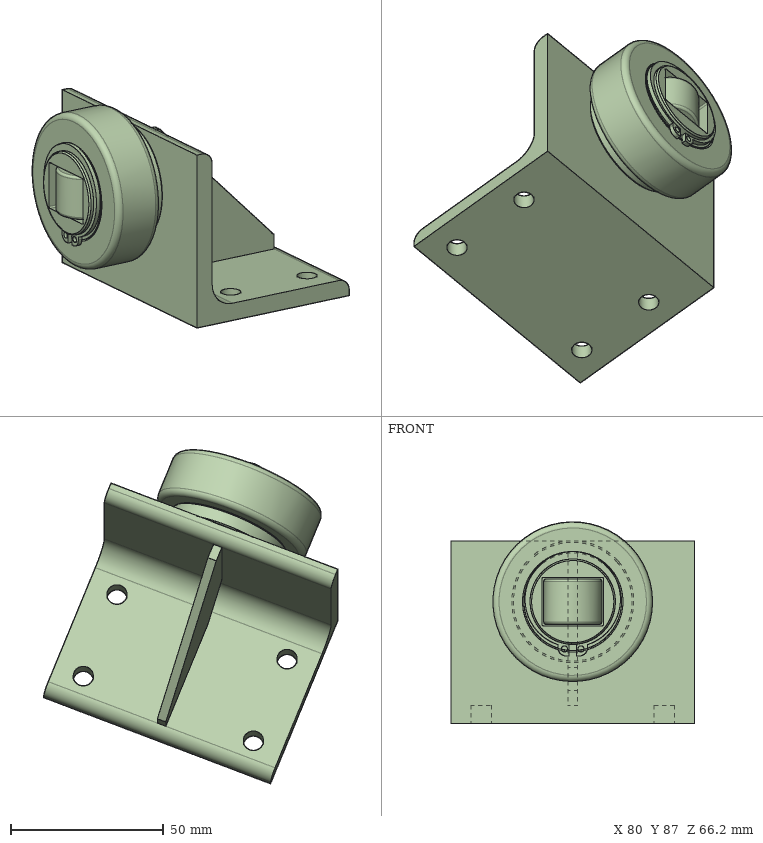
import cadquery as cq


bracket_width = 80.0
leg_length = 59.9
leg_thickness = 6.0
inner_radius = 8.0
tip_radius = 4.0

gusset_thickness = 3.0
gusset_end_flat = 5.0
gusset_corner_cut = 12.35

hole_diameter = 6.6
hole_edge_distance = 10.0
hole_spacing_x = bracket_width - 2 * hole_edge_distance
hole_spacing_y = 30.0

axis_height = 40.0
hub_diameter = 40.0
hub_chamfer = 0.5
roller_start = 5.05
roller_end = 21.9
roller_diameter = 52.4
roller_edge_radius = 2.0
bore_diameter = 32.0
bore_chamfer = 0.48

shaft_diameter = 28.0
shaft_end = 25.0
shaft_chamfer = 0.5
ring_end = 23.4
ring_radius = 15.7
ring_offset = 0.8
ring_gap = 2.35
lug_half_width = 4.9
lug_reach = 17.8
lug_corner_radius = 2.8
lug_hole_diameter = 2.0
lug_hole_offset = 2.7
lug_hole_drop = 15.5

overall_depth = 87.0
outer_depth = overall_depth - leg_length
window_width = 20.3
window_height = 15.8
window_corner_radius = 0.5
side_roller_diameter = 19.05
side_roller_length = 15.0
side_roller_edge_radius = 0.9
side_roller_depth = outer_depth - side_roller_diameter / 2


def face_plane(depth):
    """XZ plane centred on the roller axis, looking outwards along -Y."""
    return cq.Workplane("XZ", origin=(0, -depth, axis_height))


def make_angle():
    """L-shaped section with a filleted root and rounded leg tips."""
    angle = (
        cq.Workplane("YZ")
        .polyline([
            (0, 0),
            (leg_length, 0),
            (leg_length, leg_thickness),
            (leg_thickness, leg_thickness),
            (leg_thickness, leg_length),
            (0, leg_length),
        ])
        .close()
        .extrude(bracket_width / 2, both=True)
    )
    root = cq.selectors.NearestToPointSelector((0, leg_thickness, leg_thickness))
    base_tip = cq.selectors.NearestToPointSelector((0, leg_length, leg_thickness))
    upright_tip = cq.selectors.NearestToPointSelector((0, leg_thickness, leg_length))
    angle = angle.edges("|X").edges(root).fillet(inner_radius)
    angle = angle.edges("|X").edges(base_tip).fillet(tip_radius)
    angle = angle.edges("|X").edges(upright_tip).fillet(tip_radius)

    hole_centre_y = leg_length - hole_edge_distance - hole_spacing_y / 2
    holes = (
        cq.Workplane("XY", origin=(0, hole_centre_y, 0))
        .rarray(hole_spacing_x, hole_spacing_y, 2, 2)
        .circle(hole_diameter / 2)
        .extrude(leg_thickness)
    )
    return angle.cut(holes)


def make_gusset():
    """Diagonal web that stops where the leg tips start to round off."""
    inner = leg_thickness
    outer = leg_length - tip_radius
    return (
        cq.Workplane("YZ")
        .polyline([
            (inner + gusset_corner_cut, inner),
            (outer, inner),
            (outer, inner + gusset_end_flat),
            (inner + gusset_end_flat, outer),
            (inner, outer),
            (inner, inner + gusset_corner_cut),
        ])
        .close()
        .extrude(gusset_thickness / 2, both=True)
    )


def make_roller():
    """Chamfered hub, main roller and shaft end on a common axis."""
    hub = face_plane(0).circle(hub_diameter / 2).extrude(roller_start)
    hub = hub.faces("<Y or >Y").edges().chamfer(hub_chamfer)
    roller = face_plane(roller_start).circle(roller_diameter / 2).extrude(roller_end - roller_start)
    roller = roller.edges().fillet(roller_edge_radius)
    shaft = face_plane(roller_end).circle(shaft_diameter / 2).extrude(shaft_end - roller_end)
    shaft = shaft.faces("<Y").edges().chamfer(shaft_chamfer)
    return hub.union(roller).union(shaft)


def make_bore_groove():
    """V-groove left on the roller face by the chamfered edge of its bore."""
    bore_radius = bore_diameter / 2
    return (
        cq.Workplane("XY", origin=(0, 0, axis_height))
        .polyline([
            (bore_radius, -roller_end),
            (bore_radius + bore_chamfer, -roller_end),
            (bore_radius, -roller_end + bore_chamfer),
        ])
        .close()
        .revolve(360, (0, 0, 0), (0, 1, 0))
    )


def make_retaining_ring():
    """Ring tapering towards an open end with two drilled lugs."""
    thickness = ring_end - roller_end
    ring = face_plane(roller_end).center(0, ring_offset).circle(ring_radius).extrude(thickness)
    lug_height = lug_reach - shaft_diameter / 2
    lugs = (
        face_plane(roller_end)
        .center(0, -lug_reach + lug_height / 2)
        .rect(2 * lug_half_width, lug_height)
        .extrude(thickness)
        .edges("|Y and <Z")
        .fillet(lug_corner_radius)
    )
    gap = face_plane(roller_end).center(0, -lug_reach / 2).rect(ring_gap, lug_reach).extrude(thickness)
    lug_holes = (
        face_plane(roller_end)
        .pushPoints([(-lug_hole_offset, -lug_hole_drop), (lug_hole_offset, -lug_hole_drop)])
        .circle(lug_hole_diameter / 2)
        .extrude(thickness)
    )
    return ring.union(lugs).cut(gap).cut(lug_holes)


def make_window():
    """Rectangular pocket in the shaft end, down to the side roller's axis."""
    return (
        face_plane(side_roller_depth)
        .rect(window_width, window_height)
        .extrude(shaft_end - side_roller_depth)
        .edges("|Y")
        .fillet(window_corner_radius)
    )


def make_side_roller():
    """Small upright roller seated in the window."""
    return (
        cq.Workplane("XY", origin=(0, -side_roller_depth, axis_height - side_roller_length / 2))
        .circle(side_roller_diameter / 2)
        .extrude(side_roller_length)
        .edges()
        .fillet(side_roller_edge_radius)
    )


bearing = make_roller().cut(make_bore_groove()).union(make_retaining_ring())
bearing = bearing.cut(make_window()).union(make_side_roller())
result = make_angle().union(make_gusset()).union(bearing)